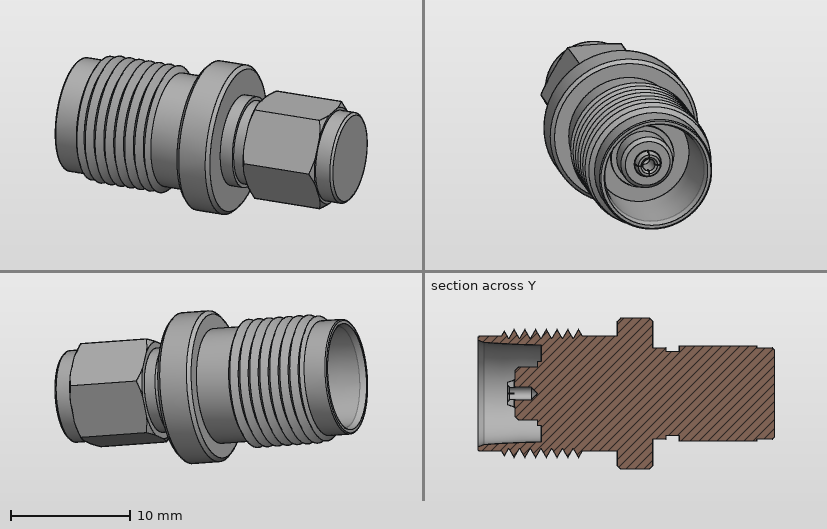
import cadquery as cq
import math


THREAD_START = 1.97
FIRST_CREST = 3.04
FLANGE_START = 11.67
FLANGE_END = 14.68
COLLAR_END = 15.78
NUT_START = 16.87
NUT_END = 23.38
OVERALL_LENGTH = 24.88

BARREL_RADIUS = 4.83
BARREL_CHAMFER = 0.1
FLANGE_RADIUS = 6.35
FLANGE_CHAMFER = 0.3
COLLAR_RADIUS = 3.86
NECK_RADIUS = 3.55
TIP_CHAMFER = 0.2

CREST_RADIUS = 5.4
THREAD_PITCH = 0.9
FULL_CRESTS = 7
FLANK_SLOPE = 1 / math.tan(math.radians(30))

NUT_ACROSS_FLATS = 8.0
NUT_CORNER_RADIUS = NUT_ACROSS_FLATS / 2 / math.cos(math.radians(30))
NUT_BEVEL_RADIUS = 4.1
NUT_BEVEL_LENGTH = (NUT_CORNER_RADIUS - NUT_BEVEL_RADIUS) * math.tan(math.radians(30))

MOUTH_RADIUS = 4.46
LEAD_IN_RADIUS = 4.27
LEAD_IN_DEPTH = 0.53
FLOOR_RADIUS = 4.05
FLOOR_DEPTH = 5.3

STEP_RADIUS = 2.69
STEP_HEIGHT = 0.3
NOSE_RADIUS = 2.23
NOSE_CHAMFER = 0.31
NOSE_FACE = 3.1

CONTACT_BASE_RADIUS = 1.16
CONTACT_BASE_HEIGHT = 0.05
CONTACT_ROOT_RADIUS = 1.12
CONTACT_TIP_RADIUS = 0.94
CONTACT_TIP = 2.48
HOLE_RADIUS = 0.52
HOLE_MOUTH_RADIUS = 0.71
HOLE_DEPTH = 2.0
DRILL_TIP_ANGLE = 90
SLOT_WIDTH = 0.05


def revolve_about_x(points):
    """Solid of revolution about the X axis from a closed (x, radius) outline."""
    return cq.Workplane("XY").polyline(points).close().revolve(360, (0, 0, 0), (1, 0, 0))


def thread_outline():
    """Points of the thread from its start on the barrel to its run-out on the barrel."""
    half_pitch = THREAD_PITCH / 2
    root_radius = CREST_RADIUS - half_pitch * FLANK_SLOPE
    first_root = FIRST_CREST - half_pitch

    start_rise = (root_radius - BARREL_RADIUS) / FLANK_SLOPE
    partial_crest = (THREAD_START + first_root + start_rise) / 2
    partial_radius = BARREL_RADIUS + (partial_crest - THREAD_START) * FLANK_SLOPE

    points = [(THREAD_START, BARREL_RADIUS), (partial_crest, partial_radius)]
    for i in range(FULL_CRESTS):
        crest = FIRST_CREST + i * THREAD_PITCH
        points.append((crest - half_pitch, root_radius))
        points.append((crest, CREST_RADIUS))
    last_crest = FIRST_CREST + (FULL_CRESTS - 1) * THREAD_PITCH
    thread_end = last_crest + (CREST_RADIUS - BARREL_RADIUS) / FLANK_SLOPE
    points.append((thread_end, BARREL_RADIUS))
    return points


def turned_body():
    """Barrel, thread, flange, collar, neck and end ring, all solid."""
    return revolve_about_x(
        [
            (0, 0),
            (0, BARREL_RADIUS - BARREL_CHAMFER),
            (BARREL_CHAMFER, BARREL_RADIUS),
            *thread_outline(),
            (FLANGE_START, BARREL_RADIUS),
            (FLANGE_START, FLANGE_RADIUS - FLANGE_CHAMFER),
            (FLANGE_START + FLANGE_CHAMFER, FLANGE_RADIUS),
            (FLANGE_END - FLANGE_CHAMFER, FLANGE_RADIUS),
            (FLANGE_END, FLANGE_RADIUS - FLANGE_CHAMFER),
            (FLANGE_END, COLLAR_RADIUS),
            (COLLAR_END, COLLAR_RADIUS),
            (COLLAR_END, NECK_RADIUS),
            (NUT_START, NECK_RADIUS),
            (NUT_START, COLLAR_RADIUS),
            (OVERALL_LENGTH - TIP_CHAMFER, COLLAR_RADIUS),
            (OVERALL_LENGTH, COLLAR_RADIUS - TIP_CHAMFER),
            (OVERALL_LENGTH, 0),
        ]
    )


def hex_nut():
    """Hexagonal prism with its corners bevelled by a cone at both ends."""
    prism = (
        cq.Workplane("YZ", origin=(NUT_START, 0, 0))
        .polygon(6, 2 * NUT_CORNER_RADIUS)
        .extrude(NUT_END - NUT_START)
    )
    bevel_envelope = revolve_about_x(
        [
            (NUT_START, 0),
            (NUT_START, NUT_BEVEL_RADIUS),
            (NUT_START + NUT_BEVEL_LENGTH, NUT_CORNER_RADIUS),
            (NUT_END - NUT_BEVEL_LENGTH, NUT_CORNER_RADIUS),
            (NUT_END, NUT_BEVEL_RADIUS),
            (NUT_END, 0),
        ]
    )
    return prism.intersect(bevel_envelope)


def socket_cavity():
    """Tapered bore of the jack, less the insulator and contact standing on its floor."""
    step_face = FLOOR_DEPTH - STEP_HEIGHT
    return revolve_about_x(
        [
            (0, 0),
            (0, MOUTH_RADIUS),
            (LEAD_IN_DEPTH, LEAD_IN_RADIUS),
            (FLOOR_DEPTH, FLOOR_RADIUS),
            (FLOOR_DEPTH, STEP_RADIUS),
            (step_face, STEP_RADIUS),
            (step_face, NOSE_RADIUS),
            (NOSE_FACE + NOSE_CHAMFER, NOSE_RADIUS),
            (NOSE_FACE, NOSE_RADIUS - NOSE_CHAMFER),
            (NOSE_FACE, CONTACT_BASE_RADIUS),
            (NOSE_FACE - CONTACT_BASE_HEIGHT, CONTACT_BASE_RADIUS),
            (NOSE_FACE - CONTACT_BASE_HEIGHT, CONTACT_ROOT_RADIUS),
            (CONTACT_TIP, CONTACT_TIP_RADIUS),
            (CONTACT_TIP, 0),
        ]
    )


def contact_hole():
    """Drilled hole of the contact with a 45 degree mouth and a conical bottom."""
    mouth_depth = HOLE_MOUTH_RADIUS - HOLE_RADIUS
    hole_end = CONTACT_TIP + HOLE_DEPTH
    drill_tip = HOLE_RADIUS / math.tan(math.radians(DRILL_TIP_ANGLE / 2))
    return revolve_about_x(
        [
            (CONTACT_TIP, 0),
            (CONTACT_TIP, HOLE_MOUTH_RADIUS),
            (CONTACT_TIP + mouth_depth, HOLE_RADIUS),
            (hole_end, HOLE_RADIUS),
            (hole_end + drill_tip, 0),
        ]
    )


def contact_slots():
    """Two crossed saw cuts that split the contact into four fingers."""
    length = NOSE_FACE - CONTACT_BASE_HEIGHT - CONTACT_TIP
    span = 2 * CONTACT_ROOT_RADIUS
    start = cq.Workplane("YZ", origin=(CONTACT_TIP, 0, 0))
    level_slot = start.rect(span, SLOT_WIDTH).extrude(length)
    upright_slot = start.rect(SLOT_WIDTH, span).extrude(length)
    return level_slot.union(upright_slot)


result = (
    turned_body()
    .union(hex_nut())
    .cut(socket_cavity())
    .cut(contact_hole())
    .cut(contact_slots())
)